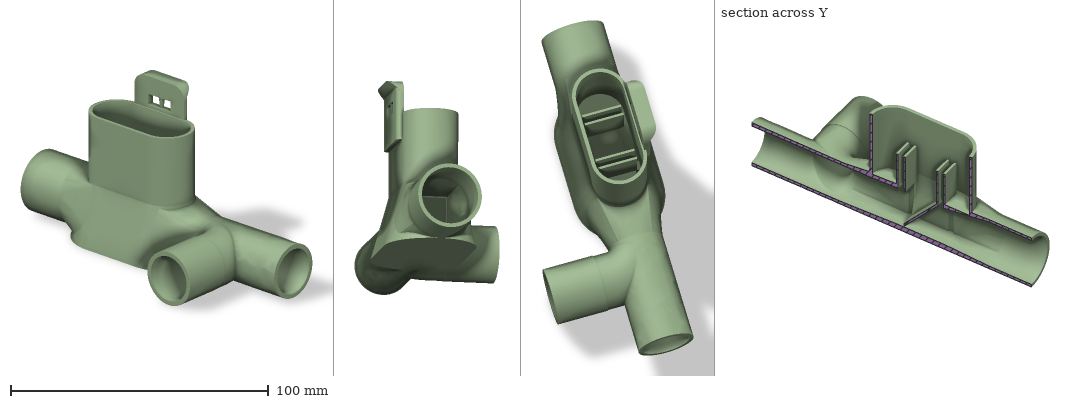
import cadquery as cq
import math

TOTAL_LENGTH = 130.8

INLET_DIAMETER = 25.2
INLET_RADIUS = INLET_DIAMETER / 2
INLET_BORE = 11.1
INLET_LENGTH = 19.9

OUTLET_START_X = 87.8
OUTLET_START_RADIUS = 11.0
OUTLET_END_RADIUS = 11.1
OUTLET_BORE = 9.3

BRANCH_X = 99.8
BRANCH_RADIUS = 11.1
BRANCH_COLLAR_Y = -17.8
BRANCH_END_Y = -37.8
BRANCH_BORE = 9.3
BEND_TUBE_RADIUS = 10.9
BEND_BORE = 8.9

CHAMBER_X = 51.8
FLAT_LENGTH = 25.9
CHAMBER_HEIGHT = 24.5
CHAMBER_BASE_RADIUS = 18.0
SOCKET_RADIUS = 11.0
SOCKET_WALL = 1.5
SOCKET_TOP = 53.0
FLOOR_Z = CHAMBER_HEIGHT - SOCKET_WALL

GATE_OFFSET = 9.3
GATE_SLOT_WIDTH = 2.5
RAIL_THICKNESS = 0.9
RAIL_HALF_WIDTH = 7.8
RAIL_TOP = 38.5

DUCT_HALF_WIDTH = 7.3
DUCT_BOTTOM = 2.6
DUCT_TOP = 20.8
PIT_BASE_HALF_WIDTH = 5.9
BAFFLE_RISE = 1.6

TAB_INNER_Y = 10.2
TAB_TOP = 66.2
TAB_CORNER_RADIUS = 5.2
HOOK_TIP_Y = 16.4
HOOK_BOTTOM = 61.1
PAD_OUTER_Y = 13.2
PAD_BOTTOM = 42.4
PAD_EDGE_RADIUS = 2.0
WINDOW_WIDTH = 11.9
WINDOW_BOTTOM = 54.2
WINDOW_TOP = 58.7
PIN_TOP_RADIUS = 1.3
PIN_BASE_RADIUS = 0.7
PIN_Y = 11.8

FLAT_START_X = CHAMBER_X - FLAT_LENGTH / 2
FLAT_END_X = CHAMBER_X + FLAT_LENGTH / 2
SOCKET_INNER_RADIUS = SOCKET_RADIUS - SOCKET_WALL
GUIDE_HALF_LENGTH = GATE_SLOT_WIDTH / 2 + RAIL_THICKNESS
GUIDE_START_X = CHAMBER_X - GATE_OFFSET - GUIDE_HALF_LENGTH
GUIDE_END_X = CHAMBER_X + GATE_OFFSET + GUIDE_HALF_LENGTH
PIT_START_X = CHAMBER_X - GATE_OFFSET + GATE_SLOT_WIDTH / 2
PIT_END_X = CHAMBER_X + GATE_OFFSET - GATE_SLOT_WIDTH / 2
BEND_RADIUS = BRANCH_X - OUTLET_START_X


def block(x_range, y_range, z_range):
    """Axis-aligned box between pairs of limits."""
    sizes = [high - low for low, high in (x_range, y_range, z_range)]
    corner = (x_range[0], y_range[0], z_range[0])
    return cq.Workplane("XY").box(*sizes, centered=False).translate(corner)


def tube(start_x, end_x, radius, axis_z):
    """Cylinder along X."""
    plane = cq.Workplane("YZ", origin=(start_x, 0, axis_z))
    return plane.circle(radius).extrude(end_x - start_x)


def obround(z, radius):
    """Obround outline of the chamber on a level plane."""
    plane = cq.Workplane("XY", origin=(CHAMBER_X, 0, z))
    return plane.slot2D(FLAT_LENGTH + 2 * radius, 2 * radius)


def round_to_four_sided(circle_x, radius, axis_z, end_x, bottom, top):
    """Ruled transition from a circle to a symmetric trapezoid; bottom and top are (half width, z)."""
    corners = [(top[0], top[1]), (-top[0], top[1]), (-bottom[0], bottom[1]), (bottom[0], bottom[1])]
    points = [cq.Vector(end_x, y, z) for y, z in corners]
    angles = [math.atan2(z - axis_z, y) % (2 * math.pi) for y, z in corners]

    def on_circle(angle):
        return cq.Vector(circle_x, radius * math.cos(angle), axis_z + radius * math.sin(angle))

    arcs = []
    lines = []
    for i in range(4):
        following = (i + 1) % 4
        sweep = (angles[following] - angles[i]) % (2 * math.pi)
        middle = on_circle(angles[i] + sweep / 2)
        arcs.append(cq.Edge.makeThreePointArc(on_circle(angles[i]), middle, on_circle(angles[following])))
        lines.append(cq.Edge.makeLine(points[i], points[following]))
    wires = [cq.Wire.assembleEdges(arcs), cq.Wire.assembleEdges(lines)]
    return cq.Workplane(obj=cq.Solid.makeLoft(wires, True))


def bent_tube(radius):
    """Round bar from the outlet start, through a quarter bend, to the open end of the branch."""
    cos_45 = math.sqrt(0.5)
    path = (
        cq.Workplane("XY", origin=(0, 0, OUTLET_START_RADIUS))
        .moveTo(OUTLET_START_X, 0)
        .threePointArc(
            (OUTLET_START_X + BEND_RADIUS * cos_45, BEND_RADIUS * cos_45 - BEND_RADIUS),
            (BRANCH_X, -BEND_RADIUS))
        .lineTo(BRANCH_X, BRANCH_END_Y)
    )
    start = cq.Workplane("YZ", origin=(OUTLET_START_X, 0, OUTLET_START_RADIUS))
    return start.circle(radius).sweep(path)


def branch_end(radius):
    """Cylinder along the straight end of the branch."""
    plane = cq.Workplane("XZ", origin=(BRANCH_X, BRANCH_COLLAR_Y, BRANCH_RADIUS))
    return plane.circle(radius).extrude(BRANCH_COLLAR_Y - BRANCH_END_Y)


def outer_body():
    """Chamber, socket, transitions, pipes and branch, all still solid."""
    flare = math.atan2(CHAMBER_BASE_RADIUS - SOCKET_RADIUS, CHAMBER_HEIGHT)
    body = obround(0, CHAMBER_BASE_RADIUS).extrude(CHAMBER_HEIGHT, taper=math.degrees(flare))
    body = body.union(obround(CHAMBER_HEIGHT, SOCKET_RADIUS).extrude(SOCKET_TOP - CHAMBER_HEIGHT))

    bottom = (CHAMBER_BASE_RADIUS, 0)
    top = (SOCKET_RADIUS, CHAMBER_HEIGHT)
    body = body.union(round_to_four_sided(
        INLET_LENGTH, INLET_RADIUS, INLET_RADIUS, FLAT_START_X, bottom, top))
    body = body.union(round_to_four_sided(
        OUTLET_START_X, OUTLET_START_RADIUS, OUTLET_START_RADIUS, FLAT_END_X, bottom, top))
    body = body.union(tube(0, INLET_LENGTH, INLET_RADIUS, INLET_RADIUS))

    outlet = (
        cq.Workplane("YZ", origin=(OUTLET_START_X, 0, 0))
        .center(0, OUTLET_START_RADIUS)
        .circle(OUTLET_START_RADIUS)
        .workplane(offset=TOTAL_LENGTH - OUTLET_START_X)
        .center(0, OUTLET_END_RADIUS - OUTLET_START_RADIUS)
        .circle(OUTLET_END_RADIUS)
        .loft(ruled=True)
    )
    body = body.union(outlet)
    body = body.union(bent_tube(BEND_TUBE_RADIUS))
    return body.union(branch_end(BRANCH_RADIUS))


def bores():
    """Round passages of the inlet, outlet and branch, and the ducts between the pipes and the pit."""
    bottom = (DUCT_HALF_WIDTH, DUCT_BOTTOM)
    top = (DUCT_HALF_WIDTH, DUCT_TOP)
    return [
        tube(0, INLET_LENGTH, INLET_BORE, INLET_RADIUS),
        round_to_four_sided(INLET_LENGTH, INLET_BORE, INLET_RADIUS, GUIDE_START_X, bottom, top),
        duct_block(GUIDE_START_X, PIT_START_X),
        duct_block(PIT_END_X, GUIDE_END_X),
        round_to_four_sided(OUTLET_START_X, OUTLET_BORE, OUTLET_START_RADIUS, GUIDE_END_X, bottom, top),
        tube(OUTLET_START_X, TOTAL_LENGTH, OUTLET_BORE, OUTLET_START_RADIUS),
        bent_tube(BEND_BORE),
        branch_end(BRANCH_BORE),
    ]


def duct_block(start_x, end_x):
    """Straight stretch of the rectangular duct."""
    return block((start_x, end_x), (-DUCT_HALF_WIDTH, DUCT_HALF_WIDTH), (DUCT_BOTTOM, DUCT_TOP))


def under_baffle():
    """End of the inlet duct, closed by the underside of the sloping baffle."""
    return (
        cq.Workplane("XZ", origin=(0, DUCT_HALF_WIDTH, 0))
        .moveTo(PIT_START_X, DUCT_BOTTOM)
        .lineTo(PIT_END_X, DUCT_BOTTOM)
        .lineTo(PIT_START_X, DUCT_TOP)
        .close()
        .extrude(2 * DUCT_HALF_WIDTH)
    )


def centre_pit():
    """Hopper between the two gate slots, with the sloping baffle as its floor."""
    sections = []
    for x, bottom in ((PIT_START_X, DUCT_TOP), (PIT_END_X, DUCT_BOTTOM)):
        bottom += BAFFLE_RISE
        sections.append(cq.Wire.makePolygon([
            cq.Vector(x, -PIT_BASE_HALF_WIDTH, bottom),
            cq.Vector(x, PIT_BASE_HALF_WIDTH, bottom),
            cq.Vector(x, SOCKET_INNER_RADIUS, FLOOR_Z),
            cq.Vector(x, -SOCKET_INNER_RADIUS, FLOOR_Z),
        ], close=True))
    return cq.Workplane(obj=cq.Solid.makeLoft(sections, True))


def side_pocket():
    """Space in the socket beyond the outlet guide, down around the top of the outlet duct."""
    pocket = obround(OUTLET_START_RADIUS, SOCKET_INNER_RADIUS).extrude(FLOOR_Z - OUTLET_START_RADIUS)
    pocket = pocket.intersect(block(
        (GUIDE_END_X, OUTLET_START_X), (-SOCKET_RADIUS, SOCKET_RADIUS), (0, CHAMBER_HEIGHT)))
    duct_shell = round_to_four_sided(
        OUTLET_START_X, OUTLET_START_RADIUS, OUTLET_START_RADIUS, GUIDE_END_X,
        (DUCT_HALF_WIDTH + SOCKET_WALL, 0), (DUCT_HALF_WIDTH, FLOOR_Z))
    return pocket.cut(duct_shell)


def gate_guide(centre_x):
    """Pair of rails standing on the floor of the socket, open at duct height."""
    guide = block(
        (centre_x - GUIDE_HALF_LENGTH, centre_x + GUIDE_HALF_LENGTH),
        (-RAIL_HALF_WIDTH, RAIL_HALF_WIDTH), (DUCT_BOTTOM - SOCKET_WALL, RAIL_TOP))
    window = duct_block(centre_x - GUIDE_HALF_LENGTH, centre_x + GUIDE_HALF_LENGTH)
    return guide.cut(window)


def gate_slot(centre_x):
    """Slot between a pair of rails, down to the floor of the duct."""
    slot_x = (centre_x - GATE_SLOT_WIDTH / 2, centre_x + GATE_SLOT_WIDTH / 2)
    return block(slot_x, (-RAIL_HALF_WIDTH, RAIL_HALF_WIDTH), (DUCT_BOTTOM, RAIL_TOP))


def latch_tab():
    """Plate with a hooked top, a backing pad, and a window bridged by a tapered pin."""
    hook_slope = (TAB_TOP - HOOK_BOTTOM) / (HOOK_TIP_Y - SOCKET_RADIUS)
    profile = (
        cq.Workplane("YZ", origin=(FLAT_START_X, 0, 0))
        .moveTo(TAB_INNER_Y, PAD_BOTTOM)
        .lineTo(SOCKET_RADIUS, PAD_BOTTOM)
        .lineTo(SOCKET_RADIUS, HOOK_BOTTOM)
        .lineTo(HOOK_TIP_Y, TAB_TOP)
        .lineTo(TAB_INNER_Y, TAB_TOP)
        .close()
        .extrude(FLAT_LENGTH)
    )
    pad_top = HOOK_BOTTOM + (PAD_OUTER_Y - SOCKET_RADIUS) * hook_slope
    pad = block((FLAT_START_X, FLAT_END_X), (TAB_INNER_Y, PAD_OUTER_Y), (PAD_BOTTOM, pad_top))
    pad = pad.edges("|Z and >Y").fillet(PAD_EDGE_RADIUS)
    outline = block((FLAT_START_X, FLAT_END_X), (TAB_INNER_Y, HOOK_TIP_Y), (PAD_BOTTOM, TAB_TOP))
    outline = outline.edges("|Y and >Z").fillet(TAB_CORNER_RADIUS)
    tab = profile.union(pad).intersect(outline)

    window = block(
        (CHAMBER_X - WINDOW_WIDTH / 2, CHAMBER_X + WINDOW_WIDTH / 2),
        (TAB_INNER_Y, HOOK_TIP_Y), (WINDOW_BOTTOM, WINDOW_TOP))
    pin = cq.Workplane(obj=cq.Solid.makeCone(
        PIN_BASE_RADIUS, PIN_TOP_RADIUS, WINDOW_TOP - WINDOW_BOTTOM,
        pnt=cq.Vector(CHAMBER_X, PIN_Y, WINDOW_BOTTOM)))
    return tab.cut(window).union(pin)


gate_places = [CHAMBER_X - GATE_OFFSET, CHAMBER_X + GATE_OFFSET]

result = outer_body()
result = result.cut(obround(FLOOR_Z, SOCKET_INNER_RADIUS).extrude(SOCKET_TOP - FLOOR_Z))
result = result.cut(centre_pit()).cut(under_baffle()).cut(side_pocket())
for bore in bores():
    result = result.cut(bore)
for place in gate_places:
    result = result.union(gate_guide(place)).cut(gate_slot(place))
result = result.union(latch_tab())